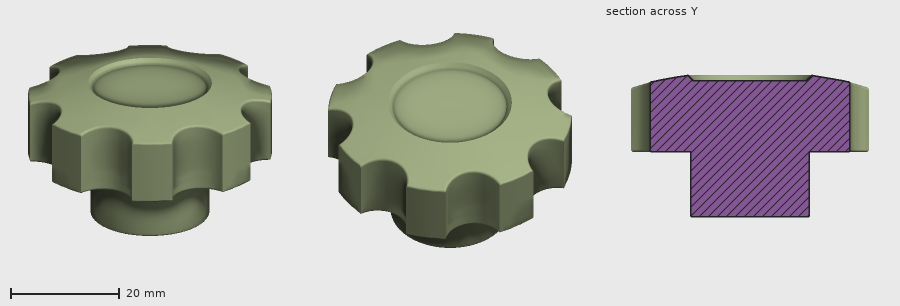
import cadquery as cq
import math

total_height = 26.15
hub_height = 12.0
hub_diameter = 22.0
head_radius = 22.53

dome_radius = 83.85
recess_floor_radius = 10.4
recess_depth = 1.0
recess_rim_radius = recess_floor_radius + recess_depth

grip_count = 8
grip_radius = 5.4
grip_inner_reach = 18.5
grip_centre_radius = grip_inner_reach + grip_radius

head_round = 0.45
hub_round = 0.4


def dome_height(radius):
    """Height of the dome surface; the recess rim is the highest point."""
    rim_rise = math.sqrt(dome_radius**2 - recess_rim_radius**2)
    return total_height - rim_rise + math.sqrt(dome_radius**2 - radius**2)


def make_head():
    """Domed disc with scalloped sides and rounded outer edges."""
    middle_radius = head_radius / 2
    disc = (
        cq.Workplane("XZ")
        .moveTo(0, hub_height)
        .lineTo(head_radius, hub_height)
        .lineTo(head_radius, dome_height(head_radius))
        .threePointArc((middle_radius, dome_height(middle_radius)), (0, dome_height(0)))
        .close()
        .revolve(360, (0, 0, 0), (0, 1, 0))
    )
    grips = (
        cq.Workplane("XY")
        .workplane(offset=hub_height)
        .polarArray(grip_centre_radius, 0, 360, grip_count)
        .circle(grip_radius)
        .extrude(total_height)
    )
    return disc.cut(grips).faces("<Z or >Z").edges().fillet(head_round)


def make_hub():
    """Plain cylinder below the head with a rounded lower edge."""
    hub = cq.Workplane("XY").circle(hub_diameter / 2).extrude(hub_height)
    return hub.faces("<Z").edges().fillet(hub_round)


def make_recess():
    """Shallow conical pocket in the top, with 45 degree walls."""
    floor_height = total_height - recess_depth
    cutter_height = 2 * recess_depth
    return (
        cq.Workplane("XY")
        .workplane(offset=floor_height)
        .circle(recess_floor_radius)
        .workplane(offset=cutter_height)
        .circle(recess_floor_radius + cutter_height)
        .loft(ruled=True)
    )


result = make_head().union(make_hub()).cut(make_recess())